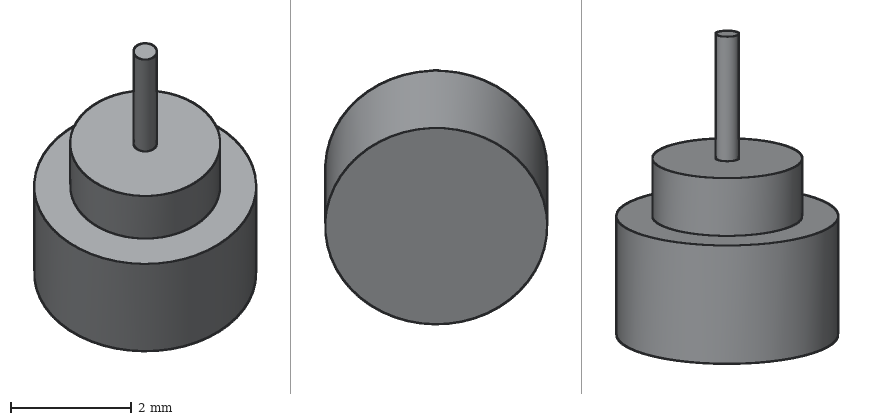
import cadquery as cq

total_height = 5.2

base_diameter = 3.7
base_height = 2.05

collar_diameter = 2.5
collar_height = 1.0

pin_diameter = 0.39
pin_length = total_height - base_height - collar_height


def add_cylinder(body, diameter, height):
    """Stack a centered cylinder on the top face of the body."""
    return body.faces(">Z").workplane().circle(diameter / 2).extrude(height)


base = cq.Workplane("XY").circle(base_diameter / 2).extrude(base_height)
base_with_collar = add_cylinder(base, collar_diameter, collar_height)
result = add_cylinder(base_with_collar, pin_diameter, pin_length)